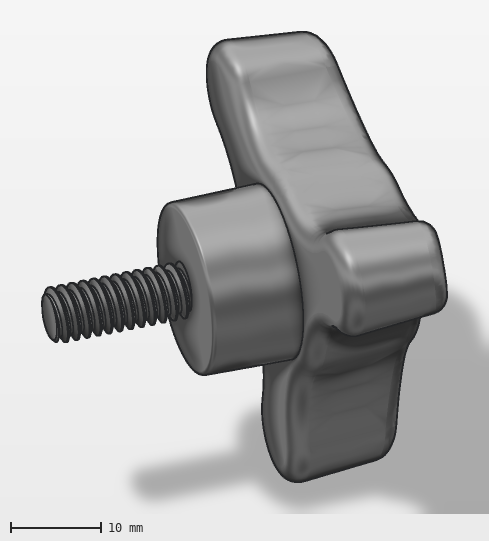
import cadquery as cq
import math


ARM_COUNT = 3
ARM_STEP = 360 / ARM_COUNT
FIRST_ARM = -90
WIDTH = 50.15
LOBE_RADIUS = 6.0
LOBE_DISTANCE = (WIDTH / 2 - LOBE_RADIUS) / math.cos(math.radians(FIRST_ARM + ARM_STEP))
WAIST_RADIUS = 12.05
NECK_RADIUS = 13.5

HANDLE_DEPTH = 14.05
SIDE_DRAFT = 5.0
RIM_RADIUS = 2.0
CROWN_FLAT = 10.3
CROWN_RADIUS = 70.2

HUB_RADIUS = 10.0
HUB_LENGTH = 10.55
HUB_DRAFT = 1.0
HUB_EDGE_RADIUS = 0.5

STUD_LENGTH = 15.9
STUD_DIAMETER = 6.35
STUD_RADIUS = STUD_DIAMETER / 2
STUD_CHAMFER = 0.5
THREAD_TURNS = 12.5
THREAD_PITCH = STUD_LENGTH / THREAD_TURNS
FLANK_ANGLE = 30.0
SHARP_THREAD_DEPTH = THREAD_PITCH / 2 / math.tan(math.radians(FLANK_ANGLE))
THREAD_DEPTH = SHARP_THREAD_DEPTH * 5 / 8
CREST_WIDTH = THREAD_PITCH / 8
CORE_RADIUS = STUD_RADIUS - THREAD_DEPTH
THREAD_OVERLAP = 0.05
FIRST_CREST = 0.75
EMBEDDED_TURNS = 2

FRONT = cq.Plane(origin=(0, 0, 0), xDir=(1, 0, 0), normal=(0, -1, 0))
BACK = cq.Plane(origin=(0, 0, 0), xDir=(-1, 0, 0), normal=(0, 1, 0))


def polar(radius, degrees, center=(0, 0)):
    angle = math.radians(degrees)
    return (center[0] + radius * math.cos(angle), center[1] + radius * math.sin(angle))


def direction(start, end):
    return math.degrees(math.atan2(end[1] - start[1], end[0] - start[0]))


def neck_middle(radius, center, lobe_center):
    """Midpoint of the neck arc that runs from the waist to a lobe."""
    toward_waist = polar(1, direction(center, (0, 0)))
    toward_lobe = polar(1, direction(center, lobe_center))
    middle = (toward_waist[0] + toward_lobe[0], toward_waist[1] + toward_lobe[1])
    return polar(radius, direction((0, 0), middle), center)


def arm_outline(growth):
    """Closed outline of all arms, offset outwards by growth."""
    lobe = LOBE_RADIUS + growth
    waist = WAIST_RADIUS + growth
    neck = NECK_RADIUS - growth

    to_neck = WAIST_RADIUS + NECK_RADIUS
    lobe_to_neck = LOBE_RADIUS + NECK_RADIUS
    cosine = (LOBE_DISTANCE**2 + to_neck**2 - lobe_to_neck**2) / (2 * LOBE_DISTANCE * to_neck)
    neck_angle = math.degrees(math.acos(cosine))

    outline = cq.Workplane(BACK).moveTo(*polar(waist, FIRST_ARM - neck_angle))
    for i in range(ARM_COUNT):
        arm = FIRST_ARM + i * ARM_STEP
        lobe_center = polar(LOBE_DISTANCE, arm)
        neck_before = polar(to_neck, arm - neck_angle)
        neck_after = polar(to_neck, arm + neck_angle)
        lobe_start = polar(lobe, direction(lobe_center, neck_before), lobe_center)
        lobe_end = polar(lobe, direction(lobe_center, neck_after), lobe_center)
        waist_start = polar(waist, arm + neck_angle)
        waist_end = polar(waist, arm + ARM_STEP - neck_angle)
        outline = (
            outline
            .threePointArc(neck_middle(neck, neck_before, lobe_center), lobe_start)
            .threePointArc(polar(LOBE_DISTANCE + lobe, arm), lobe_end)
            .threePointArc(neck_middle(neck, neck_after, lobe_center), waist_start)
            .threePointArc(polar(waist, arm + ARM_STEP / 2), waist_end)
        )
    return outline.close()


def crown_envelope():
    """Block whose back falls away along the lower arm, beyond the flat middle."""
    half_size = WIDTH
    arc_end = math.asin((half_size - CROWN_FLAT) / CROWN_RADIUS)

    def crown_point(angle):
        return (
            HANDLE_DEPTH - CROWN_RADIUS * (1 - math.cos(angle)),
            -CROWN_FLAT - CROWN_RADIUS * math.sin(angle),
        )

    front = -HANDLE_DEPTH
    return (
        cq.Workplane("YZ")
        .moveTo(front, half_size)
        .lineTo(HANDLE_DEPTH, half_size)
        .lineTo(HANDLE_DEPTH, -CROWN_FLAT)
        .threePointArc(crown_point(arc_end / 2), crown_point(arc_end))
        .lineTo(front, -half_size)
        .close()
        .extrude(half_size, both=True)
    )


def make_handle():
    draft = math.radians(SIDE_DRAFT)
    growth = RIM_RADIUS * (math.tan(draft) + 1 / math.cos(draft) - 1)
    handle = arm_outline(growth).extrude(HANDLE_DEPTH, taper=SIDE_DRAFT)
    handle = handle.faces("<Y").edges().fillet(RIM_RADIUS)

    envelope = crown_envelope()
    for i in range(ARM_COUNT):
        handle = handle.intersect(envelope.rotate((0, 0, 0), (0, 1, 0), i * ARM_STEP))

    def on_back_rim(edge):
        box = edge.BoundingBox()
        return box.ymin > HANDLE_DEPTH / 2 and edge.geomType() != "LINE"

    return handle.edges().filter(on_back_rim).fillet(RIM_RADIUS)


def make_hub():
    hub = cq.Workplane(FRONT).circle(HUB_RADIUS).extrude(HUB_LENGTH, taper=HUB_DRAFT)
    return hub.faces("<Y").edges().fillet(HUB_EDGE_RADIUS)


def make_stud():
    """Core and helical ridge, trimmed to a rod with a chamfered tip."""
    root = HUB_LENGTH - EMBEDDED_TURNS * THREAD_PITCH
    tip = HUB_LENGTH + STUD_LENGTH
    start = root + FIRST_CREST
    ridge_length = tip - start + THREAD_PITCH

    ridge_root_radius = CORE_RADIUS - THREAD_OVERLAP
    half_crest = CREST_WIDTH / 2
    half_root = half_crest + (THREAD_DEPTH + THREAD_OVERLAP) * math.tan(math.radians(FLANK_ANGLE))
    path = cq.Wire.makeHelix(THREAD_PITCH, ridge_length, ridge_root_radius)
    ridge = (
        cq.Workplane("XZ")
        .polyline([
            (ridge_root_radius, -half_root),
            (STUD_RADIUS, -half_crest),
            (STUD_RADIUS, half_crest),
            (ridge_root_radius, half_root),
        ])
        .close()
        .sweep(cq.Workplane(path), isFrenet=True)
        .translate((0, 0, start))
    )
    core = cq.Workplane("XY").workplane(offset=root).circle(CORE_RADIUS).extrude(tip - root)
    rod = (
        cq.Workplane("XY")
        .workplane(offset=root)
        .circle(STUD_RADIUS + THREAD_OVERLAP)
        .extrude(tip - root)
        .faces(">Z")
        .chamfer(STUD_CHAMFER + THREAD_OVERLAP)
    )
    stud = core.union(ridge.intersect(rod))
    return stud.rotate((0, 0, 0), (1, 0, 0), 90)


result = make_handle().union(make_hub()).union(make_stud())